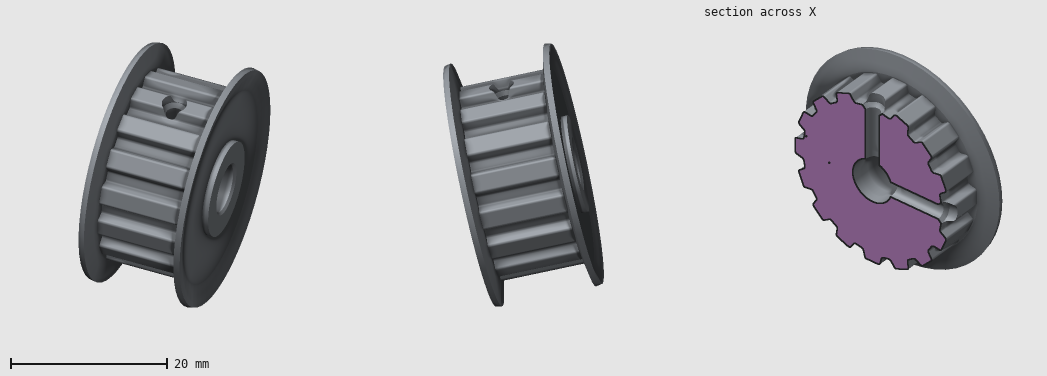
import cadquery as cq
import math

hub_width = 14.3
hub_radius = 6.32
bore_radius = 3.18
bore_chamfer = 0.32

tooth_count = 16
tip_distance = 12.67
groove_depth = 1.27
groove_bottom_width = 1.35
groove_half_angle = 25.0
groove_overshoot = 0.65
tip_fillet = 0.35
root_fillet = 0.35
corner_tolerance = 0.03

belt_width = 11.05
flange_radius = 15.88
flange_thickness = 0.8
bend_radius = 12.85
rim_flare = 0.65
rim_taper = 0.15

screw_turns = (0, -90)
screw_hole_radius = 1.1
screw_entry_radius = 1.62
screw_entry_floor = 11.3

root_radius = tip_distance - groove_depth
tooth_pitch_angle = 360.0 / tooth_count


def cylinder_along_x(radius, length):
    return cq.Workplane("YZ").circle(radius).extrude(length / 2, both=True)


def distance_from_axis(edge):
    center = edge.Center()
    return math.hypot(center.y, center.z)


def is_groove_corner(edge):
    """True for the edges where a groove bottom meets its side walls."""
    corner_radius = math.hypot(root_radius, groove_bottom_width / 2)
    return abs(distance_from_axis(edge) - corner_radius) < corner_tolerance


def make_groove():
    """Trapezoidal cutter for the groove that opens toward +Y."""
    top = tip_distance + groove_overshoot
    half_bottom = groove_bottom_width / 2
    half_top = half_bottom + (top - root_radius) * math.tan(math.radians(groove_half_angle))
    outline = [
        (root_radius, -half_bottom),
        (top, -half_top),
        (top, half_top),
        (root_radius, half_bottom),
    ]
    return cq.Workplane("YZ").polyline(outline).close().extrude(belt_width, both=True)


def make_toothed_rim():
    """Polygonal blank with a groove cut at each corner, so every tooth has a flat tip."""
    across_corners = 2 * tip_distance / math.cos(math.pi / tooth_count)
    rim = cq.Workplane("YZ").polygon(tooth_count, across_corners).extrude(belt_width / 2, both=True)
    groove = make_groove()
    for index in range(tooth_count):
        rim = rim.cut(groove.rotate((0, 0, 0), (1, 0, 0), index * tooth_pitch_angle))

    middle_radius = tip_distance - groove_depth / 2
    rim = rim.edges("|X").filter(lambda edge: distance_from_axis(edge) > middle_radius).fillet(tip_fillet)
    rim = rim.edges("|X").filter(is_groove_corner).fillet(root_fillet)
    return rim.rotate((0, 0, 0), (1, 0, 0), tooth_pitch_angle / 2)


def make_flange():
    """Flange on the +X side, revolved about the X axis."""
    inner_face = belt_width / 2
    outer_face = inner_face + flange_thickness
    section = [
        (inner_face, 0),
        (inner_face, bend_radius),
        (inner_face + rim_flare, flange_radius),
        (outer_face + rim_flare, flange_radius - rim_taper),
        (outer_face, bend_radius),
        (outer_face, 0),
    ]
    return cq.Workplane("XY").polyline(section).close().revolve(360, (0, 0, 0), (1, 0, 0))


def make_screw_hole():
    """Cutter that rises from the axis along +Z and widens through a 45 degree cone."""
    cone_height = screw_entry_radius - screw_hole_radius
    half_section = [
        (0, 0),
        (screw_hole_radius, 0),
        (screw_hole_radius, screw_entry_floor - cone_height),
        (screw_entry_radius, screw_entry_floor),
        (screw_entry_radius, flange_radius),
        (0, flange_radius),
    ]
    return cq.Workplane("XZ").polyline(half_section).close().revolve(360, (0, 0, 0), (0, 1, 0))


flange = make_flange()
hub = cylinder_along_x(hub_radius, hub_width)
pulley = make_toothed_rim().union(flange).union(flange.mirror("YZ")).union(hub)

bore = cylinder_along_x(bore_radius, hub_width)
pulley = pulley.cut(bore)
bore_rims = pulley.faces("<X or >X").edges("%CIRCLE").edges(cq.selectors.RadiusNthSelector(0))
pulley = bore_rims.chamfer(bore_chamfer)

screw_hole = make_screw_hole()
for turn in screw_turns:
    pulley = pulley.cut(screw_hole.rotate((0, 0, 0), (1, 0, 0), turn))

result = pulley